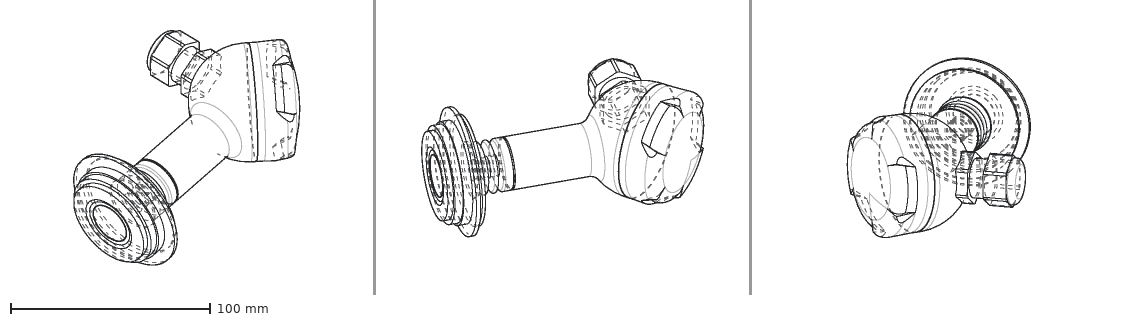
import cadquery as cq
import math


STEP_1 = (22.9, 3.0)
STEP_2 = (25.3, 7.3)
STEP_3 = (26.5, 12.0)
RIM = (33.0, 14.2)
CONE = (28.6, 16.4)
PLATE = (28.6, 18.1)
PAD = (14.4, 19.2)

RECESS_OUTER_R = 14.9
RECESS_FLOOR_R = 13.1
RECESS_DEPTH = 0.8
WELD_OUTER_R = 11.0
WELD_WIDTH = 0.25
WELD_DEPTH = 0.1

NECK_R = 4.8
NECK_FLARE = 0.9
FIN_R = 13.6
FIN_THICKNESS = 2.0
FIN_CENTERS = (23.5, 28.6)

TUBE_R = 13.6
TUBE_START = 32.2
TUBE_ROUND = 1.0
JOINT_Y = 37.8
JOINT_WIDTH = 0.8
JOINT_DEPTH = 0.25

HEAD_Y = 109.0
HEAD_R = 30.0
HEAD_TILT = 45.0
FLARE_R = 7.2

SKIRT_START = -0.5
SEAM_HEIGHT = 2.3
SEAM_WIDTH = 0.2
SEAM_DEPTH = 0.15
SKIRT_TOP = 6.2
GRIP_START = 12.2
GRIP_TOP_R = 28.0
COVER_SHOULDER = 16.5
COVER_EDGE_R = 21.0
COVER_EDGE_HEIGHT = 22.8
COVER_TOP = 25.9

LUG_COUNT = 3
LUG_R = 30.5
LUG_SHOULDER = 17.6
LUG_FOOT_HALF_ANGLE = 37.0
LUG_END_SLOPE = 37.0
LUG_END_TAPER = 18.0
LUG_WEDGE_MARGIN = 5.0

SKIRT_R = math.sqrt(HEAD_R ** 2 - SKIRT_START ** 2)
WALL_FLARE = (LUG_R - SKIRT_R) / (LUG_SHOULDER - SKIRT_TOP)
GRIP_START_R = SKIRT_R + (GRIP_START - SKIRT_TOP) * WALL_FLARE

DOME_RISE = COVER_TOP - COVER_EDGE_HEIGHT
DOME_SPHERE_R = (COVER_EDGE_R ** 2 + DOME_RISE ** 2) / (2 * DOME_RISE)
DOME_TANGENT = (-(DOME_SPHERE_R - DOME_RISE) / DOME_SPHERE_R, COVER_EDGE_R / DOME_SPHERE_R)

GLAND_Y = 108.6
HEX_FLATS = 24.1
HEX_CORNER_R = 13.45
BASE_NUT_FACE = -33.4
BASE_NUT_ROOT = -20.0
GLAND_BODY_R = 10.0
CAP_NUT_INNER = -41.5
CAP_NUT_OUTER = -53.4
CAP_END = -57.3
CAP_R = 11.95
CAP_ROUND = 3.25

CUT_CLEARANCE = 1.0


def ring(outer_r, inner_r, start, end):
    """Ring about the Y axis between two heights."""
    profile = cq.Workplane("XY").moveTo(inner_r, start).lineTo(outer_r, start)
    profile = profile.lineTo(outer_r, end).lineTo(inner_r, end).close()
    return profile.revolve(360, (0, 0, 0), (0, 1, 0))


def flange():
    profile = cq.Workplane("XY").moveTo(0, RECESS_DEPTH).lineTo(RECESS_FLOOR_R, RECESS_DEPTH)
    profile = profile.lineTo(RECESS_OUTER_R, 0)
    height = 0
    for radius, top in (STEP_1, STEP_2, STEP_3, RIM):
        profile = profile.lineTo(radius, height).lineTo(radius, top)
        height = top
    profile = profile.lineTo(*CONE).lineTo(*PLATE)
    profile = profile.lineTo(PAD[0], PLATE[1]).lineTo(*PAD).lineTo(0, PAD[1]).close()
    body = profile.revolve(360, (0, 0, 0), (0, 1, 0))
    weld = ring(WELD_OUTER_R, WELD_OUTER_R - WELD_WIDTH, 0, RECESS_DEPTH + WELD_DEPTH)
    return body.cut(weld)


def neck():
    """Waisted core segments between fins with fully rounded rims, from the flange pad to the tube."""
    half_fin = FIN_THICKNESS / 2
    segments = []
    start = PAD[1]
    for center in FIN_CENTERS:
        segments.append((start, center - half_fin))
        start = center + half_fin
    segments.append((start, TUBE_START))

    end_r = NECK_R + NECK_FLARE
    profile = cq.Workplane("XY").moveTo(0, PAD[1])
    for low, high in segments:
        profile = profile.lineTo(end_r, low)
        profile = profile.threePointArc((NECK_R, (low + high) / 2), (end_r, high))
        if high < TUBE_START:
            next_low = high + FIN_THICKNESS
            profile = profile.lineTo(FIN_R - half_fin, high)
            profile = profile.threePointArc((FIN_R, high + half_fin), (FIN_R - half_fin, next_low))
    profile = profile.lineTo(0, TUBE_START).close()
    return profile.revolve(360, (0, 0, 0), (0, 1, 0))


def tube():
    """Stem tube whose upper end flares with a round into the ball of the head."""
    flare_center_r = TUBE_R + FLARE_R
    center_drop = math.sqrt((HEAD_R + FLARE_R) ** 2 - flare_center_r ** 2)
    flare_start = HEAD_Y - center_drop
    to_ball = HEAD_R / (HEAD_R + FLARE_R)
    flare_end = (flare_center_r * to_ball, HEAD_Y - center_drop * to_ball)
    mid_angle = math.atan2(center_drop, flare_center_r) / 2
    flare_mid = (flare_center_r - FLARE_R * math.cos(mid_angle), flare_start + FLARE_R * math.sin(mid_angle))

    profile = cq.Workplane("XY").moveTo(0, TUBE_START).lineTo(TUBE_R - TUBE_ROUND, TUBE_START)
    profile = profile.radiusArc((TUBE_R, TUBE_START + TUBE_ROUND), -TUBE_ROUND).lineTo(TUBE_R, flare_start)
    profile = profile.threePointArc(flare_mid, flare_end).lineTo(0, HEAD_Y).close()
    body = profile.revolve(360, (0, 0, 0), (0, 1, 0))
    half_joint = JOINT_WIDTH / 2
    joint = ring(TUBE_R + CUT_CLEARANCE, TUBE_R - JOINT_DEPTH, JOINT_Y - half_joint, JOINT_Y + half_joint)
    return body.cut(joint)


def cover_top(profile):
    """Close a cover outline over a rounded shoulder and the domed top, and revolve it."""
    edge = (COVER_EDGE_R, COVER_EDGE_HEIGHT)
    profile = profile.spline([edge], tangents=[(0, 1), DOME_TANGENT], includeCurrent=True)
    mid_r = COVER_EDGE_R / 2
    mid_height = COVER_TOP - DOME_SPHERE_R + math.sqrt(DOME_SPHERE_R ** 2 - mid_r ** 2)
    profile = profile.threePointArc((mid_r, mid_height), (0, COVER_TOP)).close()
    return profile.revolve(360, (0, 0, 0), (0, 1, 0))


def lug_wedge():
    """Tapered prism along the cover axis that bounds one lug between its sloping end faces."""
    foot_angle = math.radians(LUG_FOOT_HALF_ANGLE)
    foot_x = GRIP_START_R * math.cos(foot_angle)
    foot_z = GRIP_START_R * math.sin(foot_angle)
    outer_x = LUG_R + LUG_WEDGE_MARGIN
    outer_z = foot_z - (outer_x - foot_x) * math.tan(math.radians(LUG_END_SLOPE))
    outline = [(0, 0), (foot_x, foot_z), (outer_x, outer_z), (outer_x, -outer_z), (foot_x, -foot_z)]
    prism = cq.Workplane("XZ", origin=(0, GRIP_START, 0)).polyline(outline).close()
    return prism.extrude(GRIP_START - COVER_TOP, taper=LUG_END_TAPER)


def head():
    """Ball and screwed cover, built upright and then tilted into place."""
    skirt_angle = math.asin(SKIRT_START / HEAD_R)
    arc_mid = (skirt_angle - math.pi / 2) / 2
    profile = cq.Workplane("XY").moveTo(0, -HEAD_R)
    profile = profile.threePointArc(
        (HEAD_R * math.cos(arc_mid), HEAD_R * math.sin(arc_mid)), (SKIRT_R, SKIRT_START))
    profile = profile.lineTo(SKIRT_R, SKIRT_TOP).lineTo(GRIP_START_R, GRIP_START)
    profile = profile.lineTo(GRIP_TOP_R, COVER_SHOULDER)
    body = cover_top(profile)

    lug_profile = cq.Workplane("XY").moveTo(0, GRIP_START).lineTo(GRIP_START_R, GRIP_START)
    lug_profile = lug_profile.lineTo(LUG_R, LUG_SHOULDER)
    lug = cover_top(lug_profile).intersect(lug_wedge())
    for index in range(LUG_COUNT):
        body = body.union(lug.rotate((0, 0, 0), (0, 1, 0), index * 360 / LUG_COUNT))

    half_seam = SEAM_WIDTH / 2
    seam = ring(HEAD_R + CUT_CLEARANCE, SKIRT_R - SEAM_DEPTH, SEAM_HEIGHT - half_seam, SEAM_HEIGHT + half_seam)
    body = body.cut(seam)
    return body.rotate((0, 0, 0), (0, 0, 1), -HEAD_TILT).translate((0, HEAD_Y, 0))


def gland_disc(radius, inner, outer):
    """Cylinder on the gland axis from inner to outer X, reaching towards -X."""
    plane = cq.Workplane("YZ", origin=(inner, GLAND_Y, 0))
    return plane.circle(radius).extrude(outer - inner)


def hex_nut(inner, outer):
    """Hexagon with flats facing +Y and -Y and its corners turned down to a round."""
    plane = cq.Workplane("YZ", origin=(inner, GLAND_Y, 0))
    prism = plane.polygon(6, HEX_FLATS, circumscribed=True).extrude(outer - inner)
    return prism.intersect(gland_disc(HEX_CORNER_R, inner, outer))


def cable_gland():
    dome = gland_disc(CAP_R, CAP_NUT_OUTER, CAP_END).faces("<X").edges().fillet(CAP_ROUND)
    gland = hex_nut(BASE_NUT_ROOT, BASE_NUT_FACE)
    gland = gland.union(gland_disc(GLAND_BODY_R, BASE_NUT_FACE, CAP_NUT_INNER))
    gland = gland.union(hex_nut(CAP_NUT_INNER, CAP_NUT_OUTER))
    return gland.union(dome)


result = flange().union(neck()).union(tube()).union(head()).union(cable_gland())